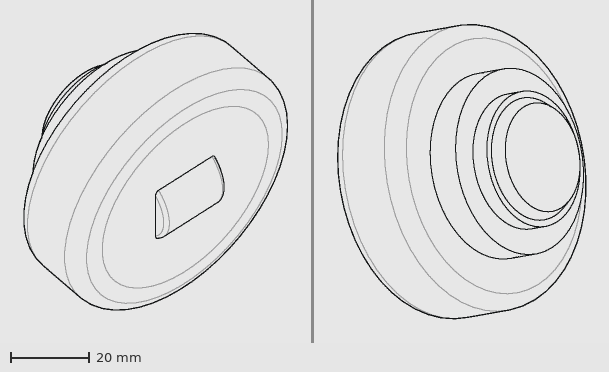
import cadquery as cq

nose_length = 3.2
nose_tip_radius = 14.0
nose_base_radius = 15.8
collar_end = 8.05
collar_radius = 17.5
hub_end = 16.9
hub_radius = 24.0

wheel_radius = 36.9
rim_end = 39.4
rim_round = 4.0
back_face_end = 39.8
back_face_radius = 28.0

overall_length = 44.0
roller_radius = 11.7
roller_width = 20.0
roller_edge_round = 1.0


def make_body():
    """Revolve the stepped half profile about the X axis."""
    rim_inner_radius = wheel_radius - rim_round
    rim_mid_offset = rim_round * (1 - 0.5**0.5)
    profile = (
        cq.Workplane("XY")
        .lineTo(0, nose_tip_radius)
        .lineTo(nose_length, nose_base_radius)
        .lineTo(nose_length, collar_radius)
        .lineTo(collar_end, collar_radius)
        .lineTo(collar_end, hub_radius)
        .lineTo(hub_end, hub_radius)
        .lineTo(hub_end, rim_inner_radius)
        .threePointArc(
            (hub_end + rim_mid_offset, wheel_radius - rim_mid_offset),
            (hub_end + rim_round, wheel_radius),
        )
        .lineTo(rim_end - rim_round, wheel_radius)
        .threePointArc(
            (rim_end - rim_mid_offset, wheel_radius - rim_mid_offset),
            (rim_end, rim_inner_radius),
        )
        .lineTo(back_face_end, back_face_radius)
        .lineTo(back_face_end, 0)
        .close()
    )
    return profile.revolve(360, (0, 0, 0), (1, 0, 0))


def make_roller():
    """Roller with rounded edges, touching the far end of the part."""
    return (
        cq.Workplane("XZ")
        .center(overall_length - roller_radius, 0)
        .circle(roller_radius)
        .extrude(roller_width / 2, both=True)
        .edges("%CIRCLE")
        .fillet(roller_edge_round)
    )


result = make_body().union(make_roller())